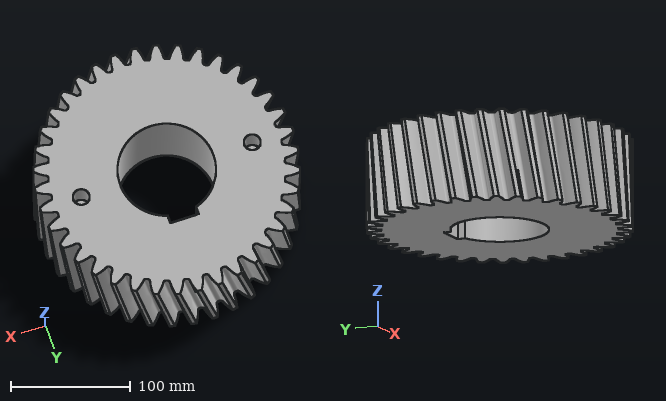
import cadquery as cq
import math

tooth_count = 38
normal_module = 5.5
helix_angle = math.radians(10)
normal_pressure_angle = math.radians(20)
tip_diameter = 222.75
face_width = 75.48
root_fillet_radius = 2.3
dedendum_factor = 1.25
flank_point_count = 5

bore_diameter = 82.3
keyway_width = 25.0
keyway_top_height = 46.0
face_hole_diameter = 14.0
face_hole_depth = 25.0
face_hole_spacing = 151.0

tip_radius = tip_diameter / 2
pitch_radius = tip_radius - normal_module
root_radius = pitch_radius - dedendum_factor * normal_module
pressure_angle = math.atan(math.tan(normal_pressure_angle) / math.cos(helix_angle))
base_radius = pitch_radius * math.cos(pressure_angle)
pitch_angle = 2 * math.pi / tooth_count
twist_degrees = math.degrees(face_width * math.tan(helix_angle) / pitch_radius)

pitch_involute_angle = math.tan(pressure_angle) - pressure_angle
base_half_gap = pitch_angle / 4 - pitch_involute_angle

fillet_centre_radius = root_radius + root_fillet_radius
fillet_normal_length = math.sqrt(fillet_centre_radius**2 - base_radius**2)
flank_start_length = fillet_normal_length - root_fillet_radius
flank_end_length = math.sqrt(tip_radius**2 - base_radius**2)
fillet_centre_angle = (
    base_half_gap + flank_start_length / base_radius - math.atan(fillet_normal_length / base_radius)
)


def polar(radius, angle):
    return (radius * math.cos(angle), radius * math.sin(angle))


def flank_point(normal_length):
    """Radius and half-gap angle of the flank where its normal has this length to the base circle."""
    roll_angle = normal_length / base_radius
    radius = math.hypot(base_radius, normal_length)
    return radius, base_half_gap + roll_angle - math.atan(roll_angle)


def fillet_middle():
    """Radius and half-gap angle of the middle of the root fillet."""
    centre_x, centre_y = polar(fillet_centre_radius, fillet_centre_angle)
    flank_x, flank_y = polar(*flank_point(flank_start_length))
    to_root = fillet_centre_angle + math.pi
    to_flank = math.atan2(flank_y - centre_y, flank_x - centre_x) % (2 * math.pi)
    direction = (to_root + to_flank) / 2
    middle_x = centre_x + root_fillet_radius * math.cos(direction)
    middle_y = centre_y + root_fillet_radius * math.sin(direction)
    return math.hypot(middle_x, middle_y), math.atan2(middle_y, middle_x)


def half_gap_points():
    """Radii and half-gap angles from the tip, down the flank and round the fillet to the root."""
    length_step = (flank_end_length - flank_start_length) / (flank_point_count - 1)
    flank = [flank_point(flank_end_length - i * length_step) for i in range(flank_point_count)]
    return flank + [fillet_middle(), (root_radius, fillet_centre_angle)]


def tooth_profile():
    """Closed outline of all teeth, with one gap centred on +Y. Each gap is one smooth curve."""
    half_gap = half_gap_points()
    tip_half_gap = half_gap[0][1]

    profile = cq.Workplane("XY").moveTo(*polar(tip_radius, math.pi / 2 - tip_half_gap))
    for index in range(tooth_count):
        gap = math.pi / 2 + index * pitch_angle
        falling_side = [polar(radius, gap - angle) for radius, angle in half_gap]
        rising_side = [polar(radius, gap + angle) for radius, angle in reversed(half_gap)]
        next_tooth = gap + pitch_angle / 2
        next_gap = gap + pitch_angle
        profile = profile.spline(
            falling_side[1:] + [polar(root_radius, gap)] + rising_side, includeCurrent=True
        ).threePointArc(polar(tip_radius, next_tooth), polar(tip_radius, next_gap - tip_half_gap))
    return profile.close()


def gear_body():
    """Teeth twisting clockwise toward the top, where one gap is centred on +Y."""
    body = tooth_profile().twistExtrude(face_width, -twist_degrees)
    return body.rotate((0, 0, 0), (0, 0, 1), twist_degrees).translate((0, 0, -face_width / 2))


def bore_with_keyway():
    bottom = cq.Workplane("XY").workplane(offset=-face_width / 2)
    bore = bottom.circle(bore_diameter / 2).extrude(face_width)
    keyway = bottom.center(0, keyway_top_height / 2).rect(keyway_width, keyway_top_height).extrude(face_width)
    return bore.union(keyway)


def face_holes():
    half_spacing = face_hole_spacing / 2
    return (
        cq.Workplane("XY")
        .workplane(offset=face_width / 2)
        .pushPoints([(-half_spacing, 0), (half_spacing, 0)])
        .circle(face_hole_diameter / 2)
        .extrude(-face_hole_depth)
    )


result = gear_body().cut(bore_with_keyway()).cut(face_holes())